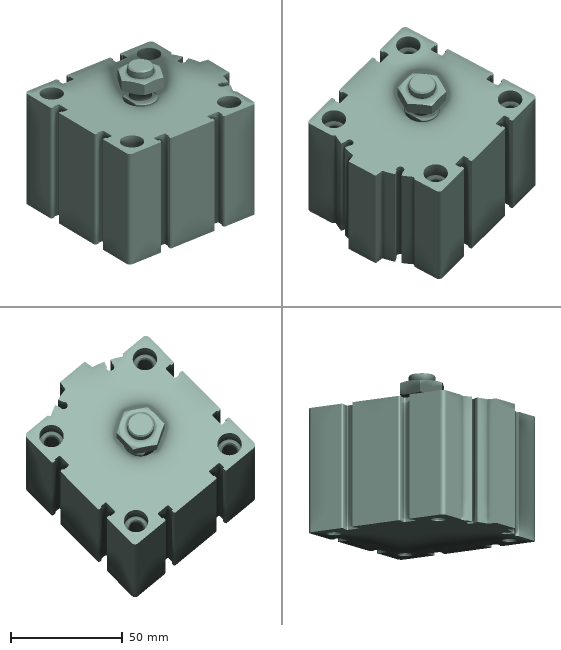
import cadquery as cq
import math


width = 74.0
depth = 82.5
total_height = 74.0
half_width = width / 2

housing_height = 57.0
corner_radius = 2.0
back_tab_y = depth - half_width
back_tab_top_width = 15.0
back_tab_root_width = 16.25
back_arc_radius = 42.0
valley_x = 21.8
shoulder_x = 22.9

slot_offset = 15.5
slot_mouth_width = 5.2
slot_pocket_width = 6.5
slot_lip = 1.8
slot_depth = 5.0
slot_chamfer = 0.4

groove_diameter = 3.6
groove_neck_width = 3.0
groove_centre_radius = 38.5
groove_angle = 21.5

hole_offset = 28.3
hole_diameter = 6.8
counterbore_diameter = 11.0
counterbore_depth = 7.0
countersink_diameter = 8.0
countersink_angle = 90.0

thread_diameter = 12.0
thread_chamfer = 0.7
thread_bottom_z = 61.8
neck_diameter = 10.2
blend_bottom_z = 59.1
blend_hollow = 0.1
neck_base_fillet = 0.4
collar_diameter = 16.0
collar_flats = 13.0
collar_height = 1.0
collar_chamfer = 0.3
socket_depth = 4.95
socket_floor_z = housing_height - socket_depth

nut_flats = 19.0
nut_height = 6.1
nut_bottom_z = 64.0
nut_corner_drop = 0.5


def back_arc_y(x):
    """Y of the curved back wall at the given X."""
    return math.sqrt(back_arc_radius**2 - x**2)


def housing_block():
    """Square block with rounded corners."""
    return (
        cq.Workplane("XY")
        .rect(width, width)
        .extrude(housing_height)
        .edges("|Z")
        .fillet(corner_radius)
    )


def back_ridge():
    """Curved wall with a tapered tab, standing out of the back face."""
    root_x = back_tab_root_width / 2
    top_x = back_tab_top_width / 2
    root_y = back_arc_y(root_x)
    valley_y = back_arc_y(valley_x)
    mid_x = (root_x + valley_x) / 2
    mid_y = back_arc_y(mid_x)
    return (
        cq.Workplane("XY")
        .moveTo(-valley_x, valley_y)
        .threePointArc((-mid_x, mid_y), (-root_x, root_y))
        .lineTo(-top_x, back_tab_y)
        .lineTo(top_x, back_tab_y)
        .lineTo(root_x, root_y)
        .threePointArc((mid_x, mid_y), (valley_x, valley_y))
        .close()
        .extrude(housing_height)
    )


def back_valley():
    """V-notches between the flat back face and the curved wall, as one cutter."""
    valley_y = back_arc_y(valley_x)
    return (
        cq.Workplane("XY")
        .moveTo(-shoulder_x, half_width)
        .lineTo(-valley_x, valley_y)
        .lineTo(valley_x, valley_y)
        .lineTo(shoulder_x, half_width)
        .close()
        .extrude(housing_height)
    )


def t_slot(offset, face_angle):
    """Cutter for a T-slot in the front face, turned about Z to another face."""
    mouth = slot_mouth_width / 2
    pocket = slot_pocket_width / 2
    half_outline = [
        (mouth + slot_chamfer, 0),
        (mouth, slot_chamfer),
        (mouth, slot_lip),
        (pocket, slot_lip),
        (pocket, slot_depth - slot_chamfer),
        (pocket - slot_chamfer, slot_depth),
    ]
    mirrored = [(-x, y) for x, y in reversed(half_outline)]
    return (
        cq.Workplane("XY")
        .polyline(half_outline + mirrored)
        .close()
        .extrude(housing_height)
        .translate((offset, -half_width, 0))
        .rotate((0, 0, 0), (0, 0, 1), face_angle)
    )


def sensor_groove(angle):
    """Cutter for a round groove with a narrower neck, opening radially outward."""
    neck_length = back_tab_y - groove_centre_radius
    bore = (
        cq.Workplane("XY")
        .center(0, groove_centre_radius)
        .circle(groove_diameter / 2)
        .extrude(housing_height)
    )
    neck = (
        cq.Workplane("XY")
        .center(0, groove_centre_radius + neck_length / 2)
        .rect(groove_neck_width, neck_length)
        .extrude(housing_height)
    )
    return bore.union(neck).rotate((0, 0, 0), (0, 0, 1), angle)


def mounting_hole(x, y):
    """Cutter for a through hole with a counterbore and a countersunk floor."""
    floor_z = housing_height - counterbore_depth
    hole_radius = hole_diameter / 2
    sink_radius = countersink_diameter / 2
    sink_depth = (sink_radius - hole_radius) / math.tan(math.radians(countersink_angle / 2))
    return (
        cq.Workplane("XZ")
        .moveTo(0, 0)
        .lineTo(hole_radius, 0)
        .lineTo(hole_radius, floor_z - sink_depth)
        .lineTo(sink_radius, floor_z)
        .lineTo(counterbore_diameter / 2, floor_z)
        .lineTo(counterbore_diameter / 2, housing_height)
        .lineTo(0, housing_height)
        .close()
        .revolve(360, (0, 0, 0), (0, 1, 0))
        .translate((x, y, 0))
    )


def rod_socket():
    """Cutter for the blind round recess around the rod collar."""
    return (
        cq.Workplane("XY")
        .workplane(offset=socket_floor_z)
        .circle(collar_diameter / 2)
        .extrude(socket_depth)
    )


def make_housing():
    body = housing_block().cut(back_valley()).union(back_ridge())
    for face_angle in (-90, 0, 90):
        for offset in (-slot_offset, slot_offset):
            body = body.cut(t_slot(offset, face_angle))
    for angle in (-groove_angle, groove_angle):
        body = body.cut(sensor_groove(angle))
    for x in (-hole_offset, hole_offset):
        for y in (-hole_offset, hole_offset):
            body = body.cut(mounting_hole(x, y))
    return body.cut(rod_socket())


def make_rod():
    """Thread, blended neck and a collar with two flats, held in the socket."""
    thread_radius = thread_diameter / 2
    neck_radius = neck_diameter / 2
    collar_radius = collar_diameter / 2
    collar_top_z = housing_height + collar_height

    blend_step = thread_radius - neck_radius
    blend_rise = thread_bottom_z - blend_bottom_z
    blend_length = math.hypot(blend_step, blend_rise)
    blend_mid = (
        (thread_radius + neck_radius) / 2 - blend_hollow * blend_rise / blend_length,
        (thread_bottom_z + blend_bottom_z) / 2 + blend_hollow * blend_step / blend_length,
    )
    fillet_rise = neck_base_fillet * (1 - math.sqrt(0.5))
    fillet_mid = (neck_radius + fillet_rise, collar_top_z + fillet_rise)

    turned = (
        cq.Workplane("XZ")
        .moveTo(0, socket_floor_z)
        .lineTo(collar_radius, socket_floor_z)
        .lineTo(collar_radius, collar_top_z - collar_chamfer)
        .lineTo(collar_radius - collar_chamfer, collar_top_z)
        .lineTo(neck_radius + neck_base_fillet, collar_top_z)
        .threePointArc(fillet_mid, (neck_radius, collar_top_z + neck_base_fillet))
        .lineTo(neck_radius, blend_bottom_z)
        .threePointArc(blend_mid, (thread_radius, thread_bottom_z))
        .lineTo(thread_radius, total_height - thread_chamfer)
        .lineTo(thread_radius - thread_chamfer, total_height)
        .lineTo(0, total_height)
        .close()
        .revolve(360, (0, 0, 0), (0, 1, 0))
    )
    between_flats = (
        cq.Workplane("XY")
        .workplane(offset=socket_floor_z)
        .rect(collar_diameter, collar_flats)
        .extrude(total_height - socket_floor_z)
    )
    return turned.intersect(between_flats)


def make_nut():
    """Hexagon nut with its corners along Y, bevelled on both faces."""
    flat_radius = nut_flats / 2
    hex_radius = nut_flats / math.sqrt(3)
    hexagon = (
        cq.Workplane("XY")
        .polygon(6, 2 * hex_radius)
        .extrude(nut_height)
        .rotate((0, 0, 0), (0, 0, 1), 90)
    )
    bevel = (
        cq.Workplane("XZ")
        .moveTo(0, 0)
        .lineTo(flat_radius, 0)
        .lineTo(hex_radius, nut_corner_drop)
        .lineTo(hex_radius, nut_height - nut_corner_drop)
        .lineTo(flat_radius, nut_height)
        .lineTo(0, nut_height)
        .close()
        .revolve(360, (0, 0, 0), (0, 1, 0))
    )
    bore = cq.Workplane("XY").circle(thread_diameter / 2).extrude(nut_height)
    return hexagon.intersect(bevel).cut(bore).translate((0, 0, nut_bottom_z))


housing = make_housing()
rod = make_rod()
nut = make_nut()

result = cq.Compound.makeCompound([housing.solids().val(), rod.solids().val(), nut.solids().val()])